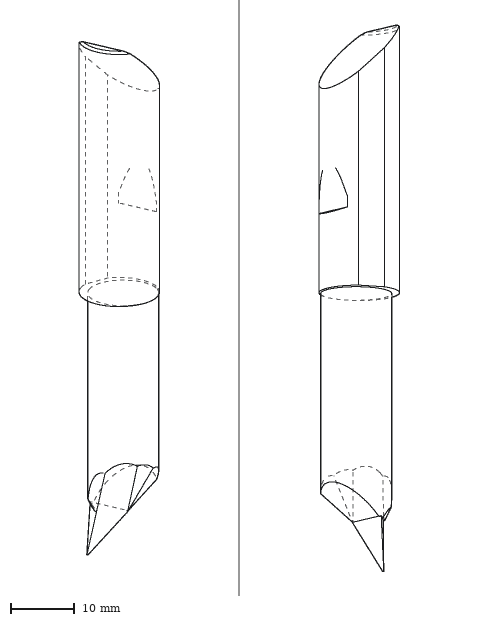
import cadquery as cq
import math


overall_length = 88.55
shank_diameter = 12.7
shank_radius = shank_diameter / 2
shank_bottom = 45.6
flat_tilt = 20.0
end_bevel_angle = 45.0
end_land_y = -4.55
end_chamfer = 0.4

notch_top = 65.8
notch_root_top = 59.8
notch_root_bottom = 58.2
notch_bottom = 57.7
notch_depth = 1.1

neck_radius = 5.6
neck_center_x = shank_radius - neck_radius
neck_bottom = 9.05
neck_bevel_angle = 45.0

tip_x = -6.1
nose_height = 0.35
lead_edge_angle = 4.0
trail_edge_angle = 40.0
front_relief_angle = 17.9
ridge_angle = 22.2
lead_ledge = 0.25
lead_relief_lean = 26.0
clearance_start = 8.8
back_clearance_angle = 29.7
back_relief_angle = 27.0

trim_size = 400.0


def tan(degrees):
    return math.tan(math.radians(degrees))


sharp_point = cq.Vector(tip_x - nose_height * tan(lead_edge_angle), 0, -nose_height)


def outside_of(point, normal):
    """Block filling the side of a plane that its normal points to."""
    plane = cq.Plane(origin=point, normal=normal)
    return cq.Workplane(plane).rect(trim_size, trim_size).extrude(trim_size)


def make_shank():
    shank = (
        cq.Workplane("XY", origin=(0, 0, shank_bottom))
        .circle(shank_radius)
        .extrude(overall_length - shank_bottom)
        .faces(">Z")
        .chamfer(end_chamfer)
    )
    bevel_normal = (0, 1, tan(end_bevel_angle))
    shank = shank.cut(outside_of((0, end_land_y, overall_length), bevel_normal))

    flat_normal = (-1, tan(flat_tilt), 0)
    shank = shank.cut(outside_of((-shank_radius, 0, 0), flat_normal))

    notch_root_y = shank_radius - notch_depth
    notch = (
        cq.Workplane("YZ")
        .polyline([
            (shank_radius, notch_top),
            (notch_root_y, notch_root_top),
            (notch_root_y, notch_root_bottom),
            (shank_radius, notch_bottom),
        ])
        .close()
        .extrude(shank_radius, both=True)
    )
    return shank.cut(notch)


def tip_section(height):
    """Lead, ridge and trail corners of the tip at a height above its nose."""
    rise = height + nose_height
    lead = sharp_point + cq.Vector(rise * tan(lead_edge_angle), 0, rise)
    ridge = sharp_point + cq.Vector(
        rise * tan(ridge_angle), -rise * tan(front_relief_angle), rise
    )
    trail = sharp_point + cq.Vector(rise * tan(trail_edge_angle), 0, rise)
    return lead, ridge, trail


def make_tip():
    """Three-sided pyramid from the neck down to the flat nose."""
    ends = [
        cq.Wire.makePolygon(tip_section(height), close=True)
        for height in (0, neck_bottom)
    ]
    return cq.Workplane(cq.Solid.makeLoft(ends, True))


def make_neck():
    neck = (
        cq.Workplane("XY", origin=(neck_center_x, 0, neck_bottom))
        .circle(neck_radius)
        .extrude(shank_bottom - neck_bottom)
    )
    lead, ridge, trail = tip_section(neck_bottom)

    neck = neck.cut(outside_of((0, 0, neck_bottom), (0, 1, -tan(neck_bevel_angle))))

    neck = neck.cut(outside_of(sharp_point, (0, -1, -tan(front_relief_angle))))

    trail_normal = (trail - sharp_point).cross(ridge - sharp_point)
    neck = neck.cut(outside_of(sharp_point, trail_normal))

    along = ridge - lead
    outward = cq.Vector(along.y, -along.x, 0).normalized()
    under_face_normal = outward - cq.Vector(0, 0, tan(lead_relief_lean))
    return neck.cut(outside_of(lead + outward * lead_ledge, under_face_normal))


def cut_back_clearance(body):
    """Clear the +X side: square to Y behind the rake plane, turned back in front of it."""
    trail = tip_section(clearance_start)[2]
    slope = tan(back_clearance_angle)
    body = body.cut(outside_of(trail, (1, 0, -slope)))
    return body.cut(outside_of(trail, (1, -tan(back_relief_angle), -slope)))


cutting_end = cut_back_clearance(make_neck().union(make_tip()))
result = make_shank().union(cutting_end)